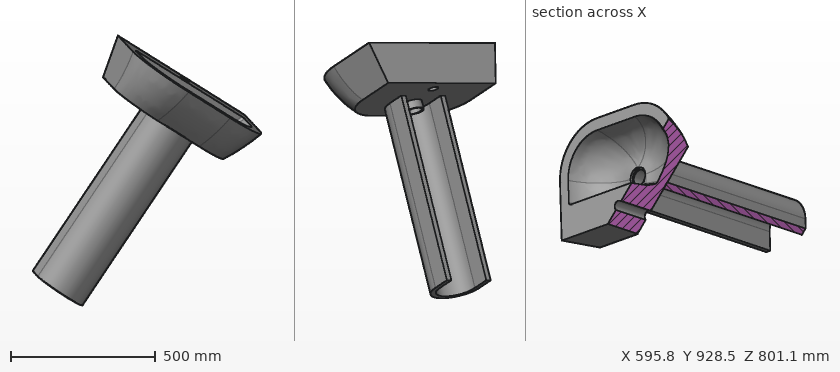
import cadquery as cq
import math


RIM_HALF_WIDTH = 275.0
RIM_SIDE_LENGTH = 216.0
FRONT_HALF_FLAT = 90.0
BASIN_HEIGHT = 150.0
BASE_INSET = 40.0
BASE_SIDE_LENGTH = 157.0
SIDE_BULGE = 12.0

BOWL_HALF_WIDTH = 235.0
BOWL_FRONT = 356.0
BOWL_BACK = 120.0
BOWL_DEPTH = 102.0
BOWL_BACK_RADIUS = 9.0
FLOOR_HALF_WIDTH = 37.0
FLOOR_HALF_LENGTH = 36.0
FLOOR_FRONT_RADIUS = 34.0
FLOOR_BACK_RADIUS = 5.0
BOWL_CURVE_POWER = 4
BOWL_SECTIONS = (0, 0.5, 0.8, 1)

DRAIN_Y = 184.0
DRAIN_RADIUS = 29.0
DRAIN_RECESS_RADIUS = 35.0
DRAIN_RECESS_DEPTH = 10.0
DRAIN_PIPE_LENGTH = 30.0
TAP_HOLE_Y = 54.0
TAP_HOLE_RADIUS = 18.0

PEDESTAL_HEIGHT = 689.0
PEDESTAL_RADIUS = 96.0
PEDESTAL_LEG = 70.5
PEDESTAL_WALL = 19.5
PEDESTAL_BACK = 115.0

WIDTH_AXIS = (-1 / math.sqrt(2), -1 / math.sqrt(6), 1 / math.sqrt(3))
UP_AXIS = (0, 2 / math.sqrt(6), 1 / math.sqrt(3))
TILT = cq.Location(cq.Plane(origin=(0, 0, 0), xDir=WIDTH_AXIS, normal=UP_AXIS))

COS_45 = math.sqrt(0.5)


def between(start, end, fraction):
    return start + (end - start) * fraction


def shell_section(fraction):
    """Outline of the shell at a fraction of the way from rim to base."""
    half_width = RIM_HALF_WIDTH - BASE_INSET * fraction
    radius = half_width - FRONT_HALF_FLAT
    bulge = 4 * SIDE_BULGE * fraction * (1 - fraction)
    side = between(RIM_SIDE_LENGTH, BASE_SIDE_LENGTH, fraction) + bulge
    arc_x = FRONT_HALF_FLAT + radius * COS_45
    arc_y = side + radius * COS_45
    front = side + radius
    return (
        cq.Workplane("XY", origin=(0, 0, -BASIN_HEIGHT * fraction))
        .moveTo(-half_width, 0)
        .lineTo(half_width, 0)
        .lineTo(half_width, side)
        .threePointArc((arc_x, arc_y), (FRONT_HALF_FLAT, front))
        .lineTo(-FRONT_HALF_FLAT, front)
        .threePointArc((-arc_x, arc_y), (-half_width, side))
        .close()
        .val()
    )


def bowl_section(growth):
    """Outline of the bowl, growing from its floor (0) to its opening (1)."""
    opening_radius = BOWL_HALF_WIDTH - FRONT_HALF_FLAT
    half_width = between(FLOOR_HALF_WIDTH, BOWL_HALF_WIDTH, growth)
    front_radius = between(FLOOR_FRONT_RADIUS, opening_radius, growth)
    back_radius = between(FLOOR_BACK_RADIUS, BOWL_BACK_RADIUS, growth)
    back = between(DRAIN_Y - FLOOR_HALF_LENGTH, BOWL_BACK, growth)
    front = between(DRAIN_Y + FLOOR_HALF_LENGTH, BOWL_FRONT, growth)

    flat = half_width - front_radius
    side = front - front_radius
    arc_x = flat + front_radius * COS_45
    arc_y = side + front_radius * COS_45
    back_x = half_width - back_radius
    back_y = back + back_radius
    back_arc_x = back_x + back_radius * COS_45
    back_arc_y = back_y - back_radius * COS_45
    depth = BOWL_DEPTH * (1 - growth ** BOWL_CURVE_POWER)
    return (
        cq.Workplane("XY", origin=(0, 0, -depth))
        .moveTo(-back_x, back)
        .lineTo(back_x, back)
        .threePointArc((back_arc_x, back_arc_y), (half_width, back_y))
        .lineTo(half_width, side)
        .threePointArc((arc_x, arc_y), (flat, front))
        .lineTo(-flat, front)
        .threePointArc((-arc_x, arc_y), (-half_width, side))
        .lineTo(-half_width, back_y)
        .threePointArc((-back_arc_x, back_arc_y), (-back_x, back))
        .close()
        .val()
    )


def loft(sections):
    return cq.Workplane(cq.Solid.makeLoft(sections))


def downward_cylinder(radius, y, top, bottom):
    return cq.Workplane("XY", origin=(0, y, bottom)).circle(radius).extrude(top - bottom)


def make_basin():
    shell = loft([shell_section(fraction) for fraction in (1, 0.5, 0)])
    bowl = loft([bowl_section(growth) for growth in BOWL_SECTIONS])

    pipe_end = -BASIN_HEIGHT - DRAIN_PIPE_LENGTH
    recess_floor = -BOWL_DEPTH - DRAIN_RECESS_DEPTH
    pipe = downward_cylinder(DRAIN_RECESS_RADIUS, DRAIN_Y, recess_floor, pipe_end)
    recess = downward_cylinder(DRAIN_RECESS_RADIUS, DRAIN_Y, -BOWL_DEPTH, recess_floor)
    drain_hole = downward_cylinder(DRAIN_RADIUS, DRAIN_Y, -BOWL_DEPTH, pipe_end)
    tap_hole = downward_cylinder(TAP_HOLE_RADIUS, TAP_HOLE_Y, 0, -BASIN_HEIGHT)
    return shell.cut(bowl).union(pipe).cut(recess).cut(drain_hole).cut(tap_hole)


def pedestal_prism(radius):
    """Solid column with a half-round front and straight sides."""
    leg_end = PEDESTAL_BACK + PEDESTAL_LEG
    return (
        cq.Workplane("XY", origin=(0, 0, -BASIN_HEIGHT - PEDESTAL_HEIGHT))
        .moveTo(-radius, PEDESTAL_BACK)
        .lineTo(radius, PEDESTAL_BACK)
        .lineTo(radius, leg_end)
        .threePointArc((0, leg_end + radius), (-radius, leg_end))
        .close()
        .extrude(PEDESTAL_HEIGHT)
    )


def make_pedestal():
    return pedestal_prism(PEDESTAL_RADIUS).cut(pedestal_prism(PEDESTAL_RADIUS - PEDESTAL_WALL))


basin = make_basin().solids()
pedestal = make_pedestal().solids()

result = cq.Compound.makeCompound([
    basin.val().moved(TILT),
    pedestal.val().moved(TILT),
])